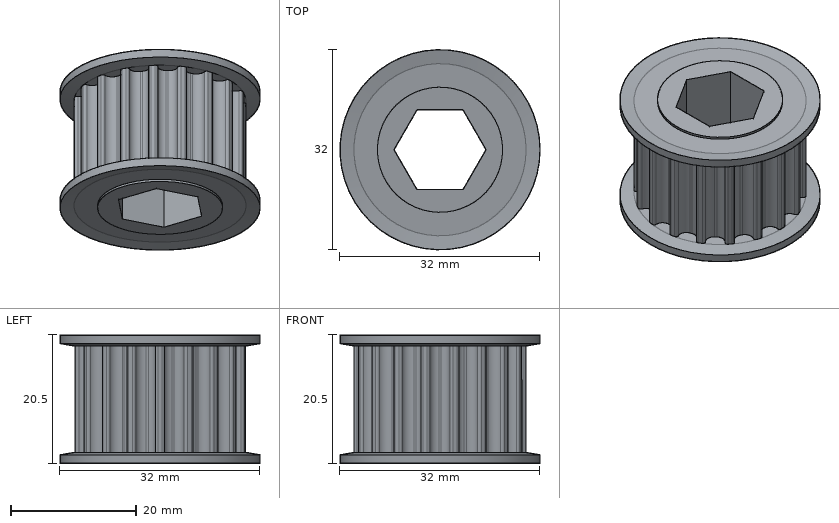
import cadquery as cq
import math

flange_radius = 16.0
total_height = 20.5
hub_diameter = 20.0
hex_across_flats = 12.7

rim_height = 1.38
flare_rise = 0.4

tooth_count = 18
tip_radius = 13.75
groove_depth = 2.0
groove_radius = 1.4
groove_floor_width = 0.35
tip_fillet = 0.4

half_height = total_height / 2
hub_radius = hub_diameter / 2
flange_outer_level = half_height - flare_rise
flange_inner_level = half_height - rim_height - flare_rise
half_pitch_angle = 180 / tooth_count


def is_tooth_tip_edge(edge):
    """True for the edges where a groove breaks through the tip circle."""
    middle = edge.Center()
    return math.isclose(math.hypot(middle.x, middle.y), tip_radius, rel_tol=1e-4)


def toothed_rim():
    """Cylinder with belt grooves all round; a tooth is centred on the +X axis."""
    groove_center_radius = tip_radius - groove_depth + groove_radius
    grooves = (
        cq.Workplane("XY")
        .polarArray(groove_center_radius, 0, 360, tooth_count)
        .slot2D(groove_floor_width + 2 * groove_radius, 2 * groove_radius, 90)
        .extrude(flange_inner_level, both=True)
    )
    rim = cq.Workplane("XY").circle(tip_radius).extrude(flange_inner_level, both=True).cut(grooves)
    rim = rim.edges("|Z").filter(is_tooth_tip_edge).fillet(tip_fillet)
    return rim.rotate((0, 0, 0), (0, 0, 1), half_pitch_angle)


def upper_flange():
    """Dished flange with the raised hub face in its middle."""
    profile = [
        (0, flange_inner_level),
        (tip_radius, flange_inner_level),
        (flange_radius, half_height - rim_height),
        (flange_radius, half_height),
        (tip_radius, flange_outer_level),
        (hub_radius, flange_outer_level),
        (hub_radius, half_height),
        (0, half_height),
    ]
    return cq.Workplane("XZ").polyline(profile).close().revolve(360, (0, 0), (0, 1))


def hex_bore():
    """Through hexagon with two corners on the X axis."""
    across_corners = hex_across_flats / math.cos(math.radians(30))
    return cq.Workplane("XY").polygon(6, across_corners).extrude(half_height, both=True)


flange = upper_flange()
result = toothed_rim().union(flange).union(flange.mirror("XY")).cut(hex_bore())